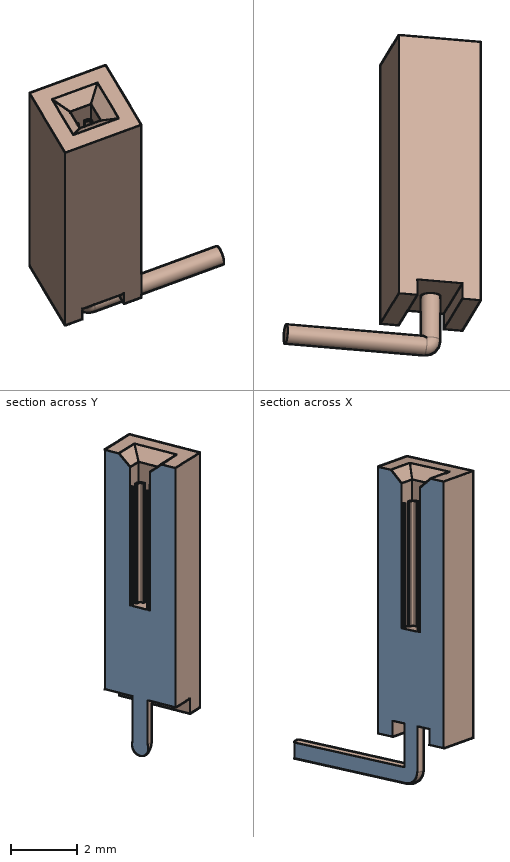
import cadquery as cq

housing_side = 2.54
housing_height = 8.39

channel_width = 1.39
channel_depth = 0.5

mouth_side = 1.51
well_side = 0.7
lead_in_depth = 0.35
well_depth = 4.9

contact_outer_side = 0.63
contact_inner_side = 0.5
contact_outer_radius = 0.1
contact_inner_radius = 0.05
contact_slot_width = 0.21
contact_height = 3.92

pin_diameter = 0.6
bend_outer_radius = 0.48
total_depth = 5.74
total_height = 9.8

pin_radius = pin_diameter / 2
bend_centre_distance = bend_outer_radius - pin_radius
pin_axis_z = housing_height - total_height + pin_radius
pin_end_y = total_depth - housing_side / 2
bend_axis_y = bend_centre_distance
bend_axis_z = pin_axis_z + bend_centre_distance
well_floor_z = housing_height - well_depth


def make_housing():
    post = cq.Workplane("XY").rect(housing_side, housing_side).extrude(housing_height)
    channel = cq.Workplane("XY").box(
        housing_side, channel_width, channel_depth, centered=(True, True, False)
    )
    return post.cut(channel)


def make_socket():
    lead_in = (
        cq.Workplane("XY", origin=(0, 0, housing_height - lead_in_depth))
        .rect(well_side, well_side)
        .workplane(offset=lead_in_depth)
        .rect(mouth_side, mouth_side)
        .loft(ruled=True)
    )
    well = (
        cq.Workplane("XY", origin=(0, 0, well_floor_z))
        .rect(well_side, well_side)
        .extrude(well_depth - lead_in_depth)
    )
    return lead_in.union(well)


def rounded_block(side, corner_radius):
    """Square block with rounded corners, standing on the well floor."""
    return (
        cq.Workplane("XY", origin=(0, 0, well_floor_z))
        .rect(side, side)
        .extrude(contact_height)
        .edges("|Z")
        .fillet(corner_radius)
    )


def make_contact_fingers():
    fingers = rounded_block(contact_outer_side, contact_outer_radius)
    fingers = fingers.cut(rounded_block(contact_inner_side, contact_inner_radius))
    for slot_size in (
        (contact_slot_width, contact_outer_side),
        (contact_outer_side, contact_slot_width),
    ):
        slot = (
            cq.Workplane("XY", origin=(0, 0, well_floor_z))
            .rect(*slot_size)
            .extrude(contact_height)
        )
        fingers = fingers.cut(slot)
    return fingers


def make_pin():
    vertical_leg = (
        cq.Workplane("XY", origin=(0, 0, bend_axis_z))
        .circle(pin_radius)
        .extrude(channel_depth - bend_axis_z)
    )
    horizontal_leg = (
        cq.Workplane("XZ", origin=(0, pin_end_y, pin_axis_z))
        .circle(pin_radius)
        .extrude(pin_end_y - bend_axis_y)
    )
    half_chord = (pin_radius**2 - bend_centre_distance**2) ** 0.5
    bend = (
        cq.Workplane("XY", origin=(0, bend_axis_y, bend_axis_z))
        .moveTo(-half_chord, 0)
        .threePointArc((0, -bend_outer_radius), (half_chord, 0))
        .close()
        .revolve(90, (0, 0), (1, 0))
    )
    return vertical_leg.union(horizontal_leg).union(bend)


housing = make_housing().cut(make_socket()).union(make_contact_fingers())
result = housing.union(make_pin())